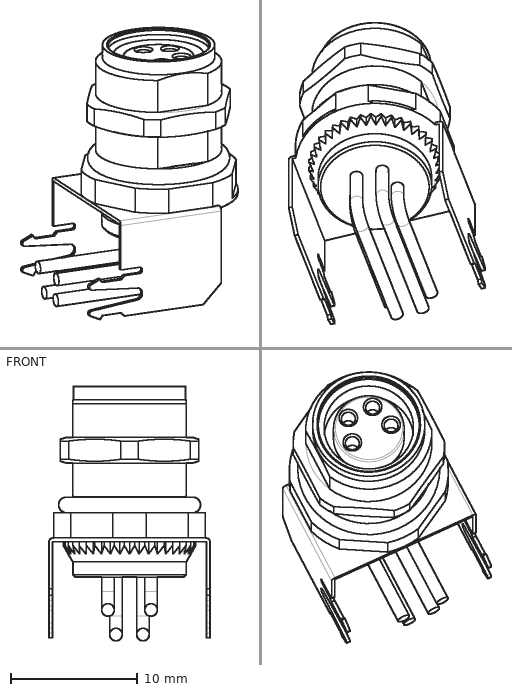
import cadquery as cq
import math


body_top = 12.0
collar_bottom = 10.93
thread_top = 10.62
thread_bottom = 3.28
collar_radius = 4.45
thread_radius = 5.0
flat_to_flat = 9.0

mouth_radius = 4.0
mouth_chamfer = 0.1
seat_top = 11.55
seat_bottom = 11.28
socket_radius = 3.54
socket_floor = 9.0
insert_top = 11.15
insert_radius = 2.8
insert_round = 0.14
contact_hole_radius = 0.55
contact_countersink_radius = 0.73
contact_hole_depth = 2.0

nut_top = 7.97
nut_bottom = 5.93
nut_across_flats = 11.0
nut_corner_radius = 6.0
nut_chamfer_height = 0.3
flange_top = 2.0
flange_across_flats = 12.0
flange_radius = 6.3
ring_section_radius = 0.62
ring_radius = 5.01
ring_neck_radius = 4.45

serration_radius = 5.25
serration_root_radius = 4.87
serration_count = 40
cone_half_angle = 30.0
cone_bottom = -1.9
end_radius = 4.5
end_bottom = -3.1
end_chamfer = 0.2

pin_radius = 0.5
pin_bend_radius = 1.5
contacts = [
    (1.71, -0.52, -5.70, -9.75),
    (1.07, 1.49, -7.65, -9.50),
]

sheet = 0.3
bracket_width = 12.76
bracket_front = -flange_radius
bracket_back = 2.5
bracket_bottom = -7.9
bracket_corner = 1.6
relief_top = -4.02

tail_axis = -6.22
tail_root = -4.41
tail_tip = -9.03
tail_neck_start = -5.97
tail_neck_end = -7.91
barb_peak = -8.12
barb_nose = -8.95
tail_half_height = tail_axis - bracket_bottom
neck_half_height = 1.38
nose_half_height = 1.30
tip_half_height = 1.02
tip_inner_y = -8.84
tip_inner_half_height = 0.87
slot_half_height = 0.49
slot_taper_start = -4.83


def disc(radius, bottom, top):
    """Cylinder on the Z axis between two levels."""
    return cq.Workplane("XY").workplane(offset=bottom).circle(radius).extrude(top - bottom)


def revolved(points):
    """Solid of revolution from (radius, z) points."""
    return cq.Workplane("XZ").polyline(points).close().revolve(360, (0, 0), (0, 1))


def hexagon(across_flats, bottom, top):
    """Hexagonal prism with one pair of flats facing +X and -X."""
    across_corners = across_flats / math.cos(math.radians(30))
    prism = cq.Workplane("XY").polygon(6, across_corners).extrude(top - bottom)
    return prism.rotate((0, 0, 0), (0, 0, 1), 30).translate((0, 0, bottom))


def threaded_barrel():
    """Barrel with two flats, an undercut neck inside the O-ring and a narrower collar at its mouth."""
    barrel = revolved([
        (0, 0),
        (ring_neck_radius, 0),
        (ring_neck_radius, thread_bottom),
        (thread_radius, thread_bottom),
        (thread_radius, thread_top),
        (collar_radius, collar_bottom),
        (collar_radius, body_top),
        (0, body_top),
    ])
    flats = cq.Workplane("XY").rect(flat_to_flat, 2 * thread_radius).extrude(body_top)
    return barrel.intersect(flats)


def socket_cavity():
    """Mouth, sloping seat and deep bore around the insert."""
    return revolved([
        (0, socket_floor),
        (socket_radius, socket_floor),
        (socket_radius, seat_bottom),
        (mouth_radius, seat_top),
        (mouth_radius, body_top - mouth_chamfer),
        (mouth_radius + mouth_chamfer, body_top),
        (0, body_top),
    ])


def contact_insert():
    """Round insert with one countersunk hole per contact."""
    insert = disc(insert_radius, socket_floor, insert_top).faces(">Z").edges().fillet(insert_round)
    countersink_depth = contact_countersink_radius - contact_hole_radius
    hole = revolved([
        (0, insert_top - contact_hole_depth),
        (contact_hole_radius, insert_top - contact_hole_depth),
        (contact_hole_radius, insert_top - countersink_depth),
        (contact_countersink_radius, insert_top),
        (0, insert_top),
    ])
    for offset, y, _, _ in contacts:
        for side in (-1, 1):
            insert = insert.cut(hole.translate((side * offset, y, 0)))
    return insert


def lock_nut():
    """Hexagon nut with corners turned round and coned off on both faces."""
    blank = revolved([
        (0, nut_bottom),
        (thread_radius, nut_bottom),
        (nut_corner_radius, nut_bottom + nut_chamfer_height),
        (nut_corner_radius, nut_top - nut_chamfer_height),
        (thread_radius, nut_top),
        (0, nut_top),
    ])
    return hexagon(nut_across_flats, nut_bottom, nut_top).intersect(blank)


def flange():
    """Hexagonal flange standing on a round disc let into the plate."""
    hex_part = hexagon(flange_across_flats, 0, flange_top)
    hex_part = hex_part.intersect(disc(flange_radius, 0, flange_top))
    let_in_disc = disc(flange_radius, -sheet, 0)
    trim = cq.Workplane("XY").rect(flange_across_flats, 2 * flange_radius).extrude(-sheet)
    return hex_part.union(let_in_disc.intersect(trim))


def o_ring():
    """Round-section ring lying on the flange."""
    section_center = (ring_radius, 0, flange_top + ring_section_radius)
    section_plane = cq.Plane(origin=section_center, xDir=(-1, 0, 0), normal=(0, 1, 0))
    section = cq.Workplane(section_plane).circle(ring_section_radius)
    return section.revolve(360, (ring_radius, 0), (ring_radius, 1))


def serrated_end():
    """Cone with V-grooves around its wide end, and the collar below it."""
    cone_height = (serration_radius - end_radius) / math.tan(math.radians(cone_half_angle))
    end = revolved([
        (0, -sheet),
        (serration_radius, -sheet),
        (serration_radius, cone_bottom + cone_height),
        (end_radius, cone_bottom),
        (end_radius, end_bottom + end_chamfer),
        (end_radius - end_chamfer, end_bottom),
        (0, end_bottom),
    ])
    pitch = 360 / serration_count
    half_pitch = math.radians(pitch / 2)
    crest_x = serration_radius * math.cos(half_pitch)
    crest_y = serration_radius * math.sin(half_pitch)
    overshoot = 1.2
    outer_x = serration_root_radius + overshoot * (crest_x - serration_root_radius)
    outer_y = overshoot * crest_y
    groove = (
        cq.Workplane("XY")
        .workplane(offset=cone_bottom)
        .polyline([(serration_root_radius, 0), (outer_x, outer_y), (outer_x, -outer_y)])
        .close()
        .extrude(-sheet - cone_bottom)
    )
    for index in range(serration_count):
        end = end.cut(groove.rotate((0, 0, 0), (0, 0, 1), index * pitch))
    return end


def pin(x, y, leg_level, tip_y):
    """Round pin going down out of the body and bending toward -Y."""
    start = cone_bottom
    bend = pin_bend_radius
    path = (
        cq.Workplane("YZ", origin=(x, 0, 0))
        .moveTo(y, start)
        .lineTo(y, leg_level + bend)
        .radiusArc((y - bend, leg_level), bend)
        .lineTo(tip_y, leg_level)
    )
    return cq.Workplane("XY", origin=(x, y, start)).circle(pin_radius).sweep(path)


def side_outline():
    """Outline of one bracket cheek in the YZ plane, tails included."""
    relief_bottom = tail_axis + tail_half_height
    relief_radius = (relief_top - relief_bottom) / 2
    relief_end = tail_root - relief_radius
    neck_rise = tail_half_height - neck_half_height
    neck_inner_start = tail_neck_start - neck_rise

    def upper(height):
        return tail_axis + height

    def lower(height):
        return tail_axis - height

    return (
        cq.Workplane("YZ")
        .moveTo(bracket_back, -sheet)
        .lineTo(bracket_front, -sheet)
        .lineTo(bracket_front, relief_top)
        .lineTo(relief_end, relief_top)
        .threePointArc((tail_root, relief_top - relief_radius), (relief_end, relief_bottom))
        .lineTo(tail_neck_start, upper(tail_half_height))
        .lineTo(neck_inner_start, upper(neck_half_height))
        .lineTo(tail_neck_end, upper(neck_half_height))
        .lineTo(barb_peak, upper(tail_half_height))
        .lineTo(barb_nose, upper(nose_half_height))
        .threePointArc((tail_tip, upper(tip_half_height)), (tip_inner_y, upper(tip_inner_half_height)))
        .lineTo(slot_taper_start, upper(slot_half_height))
        .threePointArc((tail_root, tail_axis), (slot_taper_start, lower(slot_half_height)))
        .lineTo(tip_inner_y, lower(tip_inner_half_height))
        .threePointArc((tail_tip, lower(tip_half_height)), (barb_nose, lower(nose_half_height)))
        .lineTo(barb_peak, lower(tail_half_height))
        .lineTo(tail_neck_end, lower(neck_half_height))
        .lineTo(neck_inner_start, lower(neck_half_height))
        .lineTo(tail_neck_start, lower(tail_half_height))
        .lineTo(bracket_back - bracket_corner, bracket_bottom)
        .lineTo(bracket_back, bracket_bottom + bracket_corner)
        .close()
    )


def bracket():
    """Plate with a cheek bent down on each side."""
    half_width = bracket_width / 2
    bend_radius = sheet
    plate = (
        cq.Workplane("XZ", origin=(0, bracket_back, 0))
        .moveTo(-half_width, -sheet)
        .radiusArc((-half_width + bend_radius, 0), bend_radius)
        .lineTo(half_width - bend_radius, 0)
        .radiusArc((half_width, -sheet), bend_radius)
        .close()
        .extrude(bracket_back - bracket_front)
    )
    cheek = side_outline().extrude(sheet)
    plate = plate.union(cheek.translate((-half_width, 0, 0)))
    return plate.union(cheek.translate((half_width - sheet, 0, 0)))


def connector():
    body = threaded_barrel().cut(socket_cavity())
    for feature in (contact_insert(), lock_nut(), o_ring(), flange(), serrated_end(), bracket()):
        body = body.union(feature)
    for offset, y, leg_level, tip_y in contacts:
        for side in (-1, 1):
            body = body.union(pin(side * offset, y, leg_level, tip_y))
    return body


result = connector()